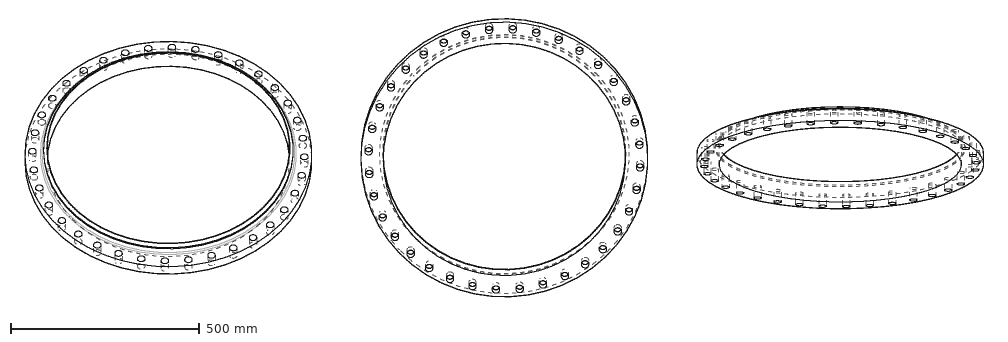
import cadquery as cq

flange_radius = 381.0
flange_thickness = 32.0
total_height = 57.0
bore_radius = 321.5

bolt_count = 36
bolt_circle_radius = 361.0
bolt_hole_diameter = 20.0

weld_land_width = 1.5
bevel_height = 7.0
neck_height = 4.5
neck_radius = 331.0
hub_base_radius = 337.0
root_fillet_radius = 4.5

weld_land_radius = bore_radius + weld_land_width
bevel_bottom = total_height - bevel_height
neck_bottom = bevel_bottom - neck_height


def make_flange_ring():
    """Revolve the flange and hub section about Z and round the hub root."""
    section = (
        cq.Workplane("XZ")
        .moveTo(bore_radius, 0)
        .lineTo(flange_radius, 0)
        .lineTo(flange_radius, flange_thickness)
        .lineTo(hub_base_radius, flange_thickness)
        .lineTo(neck_radius, neck_bottom)
        .lineTo(neck_radius, bevel_bottom)
        .lineTo(weld_land_radius, total_height)
        .lineTo(bore_radius, total_height)
        .close()
    )
    ring = section.revolve(360, (0, 0, 0), (0, 1, 0))
    hub_root = cq.selectors.RadiusNthSelector(-2)
    return ring.edges("%CIRCLE").edges(hub_root).fillet(root_fillet_radius)


def drill_bolt_holes(ring):
    """Drill the evenly spaced through holes on the bolt circle."""
    holes = (
        cq.Workplane("XY")
        .polarArray(bolt_circle_radius, 0, 360, bolt_count)
        .circle(bolt_hole_diameter / 2)
        .extrude(flange_thickness)
    )
    return ring.cut(holes)


result = drill_bolt_holes(make_flange_ring())